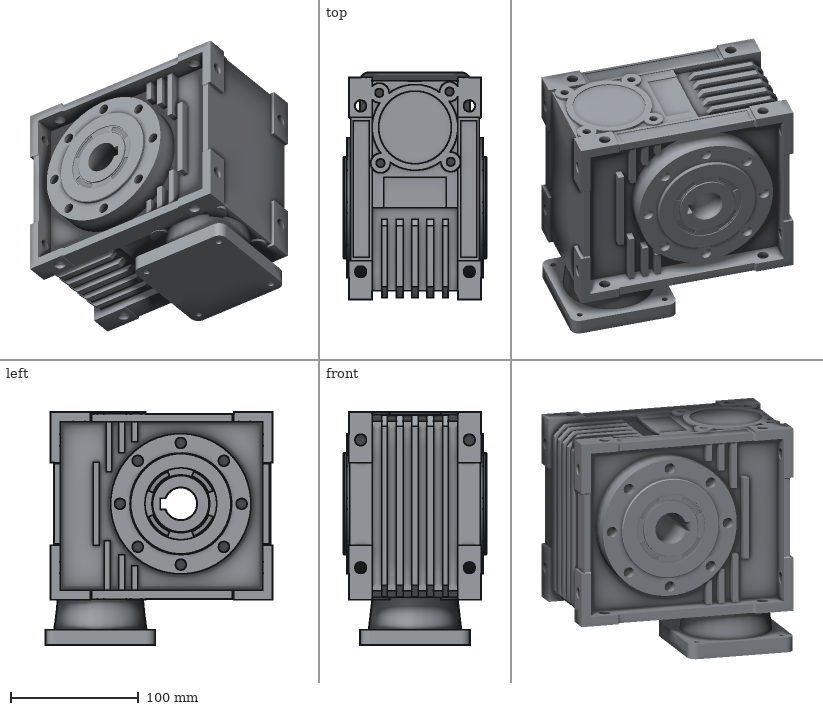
import cadquery as cq
import math


frame_half_x = 51.8
frame_front_y = -71.9
frame_back_y = 102.0
frame_bottom_z = -75.2
frame_top_z = 71.9
wall = 7.7
core_half_x = 67.0 / 2
web_half_x = 34.3

pad_half_gap_z = 32.3
pad_front_end_y = -41.6
pad_back_start_y = 71.0
recess_top = 1.5
recess_bottom = 0.5
recess_end = 2.7
recess_side = 1.5
recess_side_post = 1.0
rail_bevel = 1.3
post_bevel = 1.0
mount_hole_r = 9.0 / 2
mount_hole_x = 42.5
mount_hole_z = 50.0
mount_hole_front_y = -50.0
mount_hole_back_y = 79.8

rail_pocket_x = 36.0
rail_pocket_width = 12.2
rail_pocket_front_y = -38.9
rail_pocket_back_y = 68.0
rail_pocket_depth = 0.7

core_back_y = 99.3
core_front_y = -65.0
core_inset_z = 2.2
step_depth = 5.0
plate_half_x = 24.3
plate_length = 23.9
plate_depth = 1.0

fin_count = 5
fin_pitch = 11.9
inner_fin_width = 5.3
outer_fin_width = 4.4
fin_front_y = -70.5
fin_back_y = -9.1
fin_back_slope = 5.0
fin_inset_z = 2.5
fin_chamfer_y = 8.8
fin_chamfer_z = 8.8

input_y = 63.0
boss_r = 33.5
boss_recess_r = 28.5
boss_recess_depth = 1.0
ear_circle_r = 38.9
ear_r = 7.7
ear_hole_r = 3.3
ear_hole_depth = 14.6
ear_turn = 1.0

flange_bottom_z = -110.6
flange_thickness = 12.0
flange_half = 43.0
flange_corner_r = 7.0
flange_hole_r = 2.4
flange_hole_offset = 34.9
neck_top_r = 33.5
neck_bottom_r = 36.3

cover_r = 55.0
cover_half_x = 53.3
cover_hole_circle_r = 47.6
cover_hole_r = 4.2
cover_hole_count = 8
cover_hole_depth = 14.6
hub_r = 39.8
hub_half_x = 56.0
hub_chamfer = 0.5
seal_r = 28.1
seal_depth = 0.7
pocket_inner_r = 23.4
pocket_outer_r = 27.2
pocket_sweep = 46.0
pocket_depth = 0.7
shaft_r = 22.0
shaft_gap = 0.5
shaft_gap_depth = 1.5
bore_r = 25.4 / 2
keyway_half_width = 8.5 / 2
keyway_depth_y = 16.0

rib_width = 4.5
rib_half_x = 42.5
window_bottom_z = frame_bottom_z + wall
window_top_z = frame_top_z - wall
side_ribs = (
    (66.0, -32.5, 32.5),
    (56.2, 25.2, window_top_z),
    (46.2, 40.2, window_top_z),
    (36.0, 48.5, window_top_z),
    (57.5, window_bottom_z, -28.8),
    (46.2, window_bottom_z, -40.0),
    (36.0, window_bottom_z, -48.5),
)


def block(x0, x1, y0, y1, z0, z1):
    """Axis-aligned box between two opposite corners."""
    return cq.Workplane("XY").box(x1 - x0, y1 - y0, z1 - z0, centered=False).translate((x0, y0, z0))


def x_cylinder(radius, half_length):
    """Cylinder along the output shaft, centred on the origin."""
    return cq.Workplane("YZ").circle(radius).extrude(half_length, both=True)


def inset_profile(plane, start, end, depth, bevel):
    """Outline of a shallow inset in the outer side face, with sloped ends."""
    floor_x = frame_half_x - depth
    outline = [(frame_half_x, start), (floor_x, start + bevel), (floor_x, end - bevel), (frame_half_x, end)]
    return cq.Workplane(plane).polyline(outline).close()


def side_frame():
    """The +X frame: four walls with raised corner pads, around a side window."""
    x0, x1 = core_half_x, frame_half_x
    y0, y1 = frame_front_y, frame_back_y
    z0, z1 = frame_bottom_z, frame_top_z
    frame = block(x0, x1, y0, y1, z0, z1)
    rail_inset = inset_profile("XY", pad_front_end_y, pad_back_start_y, recess_side, rail_bevel)
    post_inset = inset_profile("XZ", -pad_half_gap_z, pad_half_gap_z, recess_side_post, post_bevel)
    recesses = (
        block(x0, x1, pad_front_end_y, pad_back_start_y, z1 - recess_top, z1),
        block(x0, x1, pad_front_end_y, pad_back_start_y, z0, z0 + recess_bottom),
        block(x0, x1, y0, y0 + recess_end, -pad_half_gap_z, pad_half_gap_z),
        block(x0, x1, y1 - recess_end, y1, -pad_half_gap_z, pad_half_gap_z),
        rail_inset.extrude(z1 - z0, both=True),
        post_inset.extrude(y1 - y0, both=True),
        block(web_half_x, x1, y0 + wall, y1 - wall, window_bottom_z, window_top_z),
        block(rail_pocket_x, rail_pocket_x + rail_pocket_width, rail_pocket_front_y, rail_pocket_back_y,
              z1 - recess_top - rail_pocket_depth, z1),
    )
    for recess in recesses:
        frame = frame.cut(recess)
    for centre_y, low_z, high_z in side_ribs:
        half = rib_width / 2
        frame = frame.union(block(x0, rib_half_x, centre_y - half, centre_y + half, low_z, high_z))
    return frame


def middle_body():
    """Body between the frames, lower over its finned half, with the nameplate recess."""
    low = frame_bottom_z + core_inset_z
    high = frame_top_z - core_inset_z
    body = block(-core_half_x, core_half_x, 0, core_back_y, low, high)
    body = body.union(block(-core_half_x, core_half_x, core_front_y, 0, low + step_depth, high - step_depth))
    return body.cut(block(-plate_half_x, plate_half_x, 0, plate_length, high - plate_depth, high))


def fin(centre_x, width):
    """One fin wrapping the top, front and bottom of the body."""
    low = frame_bottom_z + fin_inset_z
    high = frame_top_z - fin_inset_z
    base_low = frame_bottom_z + core_inset_z + step_depth
    base_high = frame_top_z - core_inset_z - step_depth
    outline = [
        (fin_back_y, base_high),
        (fin_back_y - fin_back_slope, high),
        (fin_front_y + fin_chamfer_y, high),
        (fin_front_y, high - fin_chamfer_z),
        (fin_front_y, low + fin_chamfer_z),
        (fin_front_y + fin_chamfer_y, low),
        (fin_back_y - fin_back_slope, low),
        (fin_back_y, base_low),
    ]
    plate = cq.Workplane("YZ").polyline(outline).close().extrude(width / 2, both=True)
    return plate.translate((centre_x, 0, 0))


def ear_points():
    """Plan positions of the four boss ears."""
    angles = [math.radians(45 + ear_turn + 90 * i) for i in range(4)]
    return [(ear_circle_r * math.cos(a), input_y + ear_circle_r * math.sin(a)) for a in angles]


def boss(base_z):
    """Bearing ring with four ears, as thick as the frame wall, starting at base_z."""
    plane = cq.Workplane("XY", origin=(0, 0, base_z))
    ring = plane.center(0, input_y).circle(boss_r).extrude(wall)
    return ring.union(plane.pushPoints(ear_points()).circle(ear_r).extrude(wall))


def motor_flange():
    """Square flange with rounded corners, joined to the housing by a tapered neck."""
    plate = (
        cq.Workplane("XY", origin=(0, input_y, flange_bottom_z))
        .rect(2 * flange_half, 2 * flange_half).extrude(flange_thickness)
        .edges("|Z").fillet(flange_corner_r)
        .faces(">Z").workplane(origin=(0, input_y, 0))
        .rect(2 * flange_hole_offset, 2 * flange_hole_offset, forConstruction=True)
        .vertices().hole(2 * flange_hole_r)
    )
    neck_bottom_z = flange_bottom_z + flange_thickness
    neck = (
        cq.Workplane("XY", origin=(0, input_y, neck_bottom_z)).circle(neck_bottom_r)
        .workplane(offset=frame_bottom_z - neck_bottom_z).circle(neck_top_r).loft()
    )
    return plate.union(neck)


def seal_pockets(side):
    """Four arc-shaped pockets below the seal face, centred on the diagonals."""
    def at(radius, degrees):
        angle = math.radians(degrees)
        return (radius * math.cos(angle), radius * math.sin(angle))

    start = 45 - pocket_sweep / 2
    end = 45 + pocket_sweep / 2
    depth = seal_depth + pocket_depth
    pocket = (
        cq.Workplane("YZ", origin=(side * hub_half_x, 0, 0))
        .moveTo(*at(pocket_inner_r, start)).lineTo(*at(pocket_outer_r, start))
        .threePointArc(at(pocket_outer_r, 45), at(pocket_outer_r, end))
        .lineTo(*at(pocket_inner_r, end))
        .threePointArc(at(pocket_inner_r, 45), at(pocket_inner_r, start))
        .close().extrude(-side * depth)
    )
    pockets = pocket
    for turn in (90, 180, 270):
        pockets = pockets.union(pocket.rotate((0, 0, 0), (1, 0, 0), turn))
    return pockets


def cut_output_faces(body):
    """Seal recess, shaft gap and bolt holes in both output covers."""
    for side in (-1, 1):
        outer = cq.Workplane("YZ", origin=(side * hub_half_x, 0, 0))
        face = cq.Workplane("YZ", origin=(side * cover_half_x, 0, 0))
        body = body.cut(outer.circle(seal_r).circle(shaft_r).extrude(-side * seal_depth))
        body = body.cut(seal_pockets(side))
        body = body.cut(outer.circle(shaft_r + shaft_gap).circle(shaft_r).extrude(-side * shaft_gap_depth))
        holes = face.polarArray(cover_hole_circle_r, 0, 360, cover_hole_count).circle(cover_hole_r)
        body = body.cut(holes.extrude(-side * cover_hole_depth))
    return body


def cut_bore(body):
    """Through bore with a keyway on its +Y side."""
    body = body.cut(x_cylinder(bore_r, hub_half_x))
    return body.cut(block(-hub_half_x, hub_half_x, 0, keyway_depth_y, -keyway_half_width, keyway_half_width))


def mounting_holes():
    """Holes through the frame walls, vertical and along Y, clear of the covers."""
    tools = cq.Workplane("XY")
    vertical = [(sx * mount_hole_x, y) for sx in (-1, 1) for y in (mount_hole_front_y, mount_hole_back_y)]
    for base_z in (frame_bottom_z, frame_top_z - wall):
        plane = cq.Workplane("XY", origin=(0, 0, base_z))
        tools = tools.union(plane.pushPoints(vertical).circle(mount_hole_r).extrude(wall))
    along_y = [(sx * mount_hole_x, sz * mount_hole_z) for sx in (-1, 1) for sz in (-1, 1)]
    for base_y in (frame_front_y + wall, frame_back_y):
        plane = cq.Workplane("XZ", origin=(0, base_y, 0))
        tools = tools.union(plane.pushPoints(along_y).circle(mount_hole_r).extrude(wall))
    return tools


frame = side_frame()
result = middle_body().union(frame).union(frame.mirror("YZ"))
for i in range(fin_count):
    offset = i - (fin_count - 1) / 2
    is_outer = i in (0, fin_count - 1)
    result = result.union(fin(offset * fin_pitch, outer_fin_width if is_outer else inner_fin_width))

for base_z in (frame_bottom_z, window_top_z):
    result = result.union(boss(base_z))
result = result.cut(mounting_holes()).union(motor_flange())
result = result.cut(
    cq.Workplane("XY", origin=(0, input_y, frame_top_z)).circle(boss_recess_r).extrude(-boss_recess_depth)
)
result = result.cut(
    cq.Workplane("XY", origin=(0, 0, frame_top_z)).pushPoints(ear_points())
    .circle(ear_hole_r).extrude(-ear_hole_depth)
)

hub = x_cylinder(hub_r, hub_half_x).faces("<X or >X").chamfer(hub_chamfer)
result = result.union(x_cylinder(cover_r, cover_half_x)).union(hub)
result = cut_bore(cut_output_faces(result))